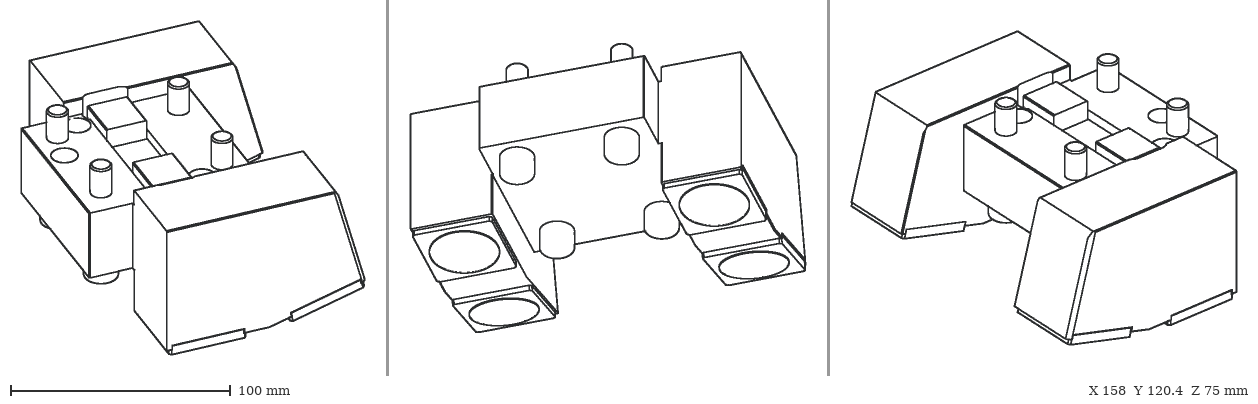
import cadquery as cq
import math

half_width = 79.0
overall_depth = 120.42
overall_height = 75.0

block_left_inner = -39.75
block_right_inner = 40.75
block_front = 21.4
block_bottom = 3.0
block_top = 68.0
tilt = 15.0
edge_break = 0.5
inner_front_chamfer = 0.7
rear_edge_chamfer = 2.0
top_rear_flat_setback = 1.2
top_rear_drop = 3.5

pad_size = 38.0
pad_corner = 1.0
pad_centre_x = 59.7
level_pad_front_gap = 20.6
tilted_pad_rear_gap = 20.3
pad_disc_diameter = 32.0
pad_disc_thickness = 0.5
pad_notch_depth = 2.2
pad_notch_size = 35.0

base_half_width = 39.5
base_depth = 84.0
base_bottom = 25.0
base_top = 60.0
base_edge_chamfer = 0.5
side_bevel_width = 3.0
side_bevel_drop = 0.5

slot_centre_y = 42.0
slot_width = 20.5
slot_floor = 55.0
relief_width = 24.0
relief_radius = 5.0
relief_centre_x = 37.0
key_inner_x = 15.0
key_outer_x = 37.0
key_width = 20.0
key_top = 65.0
key_chamfer = 0.5

screw_x = 25.0
screw_front_y = 12.0
screw_rear_y = 72.0
screw_diameter = 10.0
screw_tip_chamfer = 0.8
head_diameter = 16.0
head_height = 10.0
head_round = 1.0

plug_diameter = 12.4
plug_sink = 0.1
plug_positions = [(31.0, 59.5), (-31.0, 24.4), (-10.0, 9.0)]

tilt_tan = math.tan(math.radians(tilt))
tilt_cos = math.cos(math.radians(tilt))
tilt_sin = math.sin(math.radians(tilt))
slope_start_y = 72.6
slope_end_z = block_bottom + (overall_depth - slope_start_y) * tilt_tan
slope_length = (overall_depth - slope_start_y) / tilt_cos


def rear_face_y(z):
    """Y of the leaning rear face at height z."""
    return overall_depth - (z - slope_end_z) * tilt_tan


def box(x0, x1, y0, y1, z0, z1):
    """Box between opposite corners, with the X limits in either order."""
    width = abs(x1 - x0)
    return cq.Workplane("XY").box(width, y1 - y0, z1 - z0, centered=False).translate((min(x0, x1), y0, z0))


def contact_pad():
    """Pad whose top is sunk into the block above z = 0, centred on the origin, with a round disc below."""
    plate = (
        cq.Workplane("XY")
        .workplane(offset=pad_notch_depth)
        .rect(pad_size, pad_size)
        .extrude(pad_disc_thickness - block_bottom - pad_notch_depth)
        .edges("|Z")
        .chamfer(pad_corner)
    )
    disc = (
        cq.Workplane("XY")
        .workplane(offset=-block_bottom)
        .circle(pad_disc_diameter / 2)
        .extrude(pad_disc_thickness)
    )
    return plate.union(disc)


def pad_notch(side):
    """Shallow notch with a flared mouth in the outer side face, exposing the edge of the seated pad."""
    outer = side * (half_width - pad_centre_x)
    inner = side * pad_size / 2
    notch = box(inner, outer, -pad_notch_size / 2, pad_notch_size / 2, 0, pad_notch_depth)
    mouth = (
        cq.Workplane("YZ")
        .workplane(offset=outer)
        .rect(pad_notch_size + 2 * edge_break, 2 * (pad_notch_depth + edge_break))
        .workplane(offset=-side * edge_break)
        .rect(pad_notch_size, 2 * pad_notch_depth)
        .loft()
    )
    return notch.union(mouth)


def place_level(shape, side):
    """Move a pad shape to the level underside of a block."""
    return shape.translate((side * pad_centre_x, block_front + level_pad_front_gap, block_bottom))


def place_tilted(shape, side):
    """Move a pad shape to the tilted underside of a block."""
    along = slope_length - tilted_pad_rear_gap
    y = slope_start_y + along * tilt_cos
    z = block_bottom + along * tilt_sin
    return shape.rotate((0, 0, 0), (1, 0, 0), tilt).translate((side * pad_centre_x, y, z))


def top_rear_wedge():
    """Material removed to bevel the edge between the rear face and the top."""
    return (
        cq.Workplane("YZ")
        .moveTo(rear_face_y(block_top) - top_rear_flat_setback, block_top)
        .lineTo(rear_face_y(block_top - top_rear_drop), block_top - top_rear_drop)
        .lineTo(overall_depth, block_top)
        .close()
        .extrude(half_width, both=True)
    )


def chamfer_near(shape, length, point):
    """Chamfer the single edge whose middle is nearest to the point."""
    return shape.edges(cq.selectors.NearestToPointSelector(point)).chamfer(length)


def side_block(side, inner_x):
    """Block with a tilted rear underside, leaning rear face, broken edges and two pads."""
    outer_x = side * half_width
    profile = [
        (block_front, block_bottom),
        (slope_start_y, block_bottom),
        (overall_depth, slope_end_z),
        (rear_face_y(block_top), block_top),
        (block_front, block_top),
    ]
    block = cq.Workplane("YZ").polyline(profile).close().extrude(abs(outer_x - inner_x))
    block = block.translate((min(inner_x, outer_x), 0, 0))

    rear_mid_z = (slope_end_z + block_top) / 2
    rear_mid_y = rear_face_y(rear_mid_z)
    block = chamfer_near(block, rear_edge_chamfer, (outer_x, rear_mid_y, rear_mid_z))
    block = chamfer_near(block, edge_break, (inner_x, rear_mid_y, rear_mid_z))
    block = block.cut(top_rear_wedge())
    block = block.faces(">Z").edges("|Y").chamfer(edge_break)

    level_mid_y = (block_front + slope_start_y) / 2
    slope_mid_y = (slope_start_y + overall_depth) / 2
    slope_mid_z = (block_bottom + slope_end_z) / 2
    block = (
        block.edges(cq.selectors.NearestToPointSelector((outer_x, level_mid_y, block_bottom)))
        .add(block.edges(cq.selectors.NearestToPointSelector((outer_x, slope_mid_y, slope_mid_z))))
        .chamfer(edge_break)
    )

    for place in (place_level, place_tilted):
        block = block.cut(place(pad_notch(side), side)).union(place(contact_pad(), side))
    return block.cut(inner_front_wedge(side, inner_x))


def inner_front_wedge(side, inner_x):
    """Material removed to chamfer the inner front edge of a block below the base plate."""
    return (
        cq.Workplane("XY")
        .workplane(offset=block_bottom)
        .moveTo(inner_x, block_front)
        .lineTo(inner_x + side * inner_front_chamfer, block_front)
        .lineTo(inner_x, block_front + inner_front_chamfer)
        .close()
        .extrude(base_bottom - block_bottom)
    )


def base_plate():
    """Plate with chamfered front and top edges and a shallow bevel along its left top edge."""
    plate = box(-base_half_width, base_half_width, 0, base_depth, base_bottom, base_top)
    plate = plate.edges("(|Z and <Y) or (|X and >Z)").chamfer(base_edge_chamfer)
    bevel = (
        cq.Workplane("XZ")
        .moveTo(-base_half_width, base_top)
        .lineTo(-base_half_width + side_bevel_width, base_top)
        .lineTo(-base_half_width, base_top - side_bevel_drop)
        .close()
        .extrude(-base_depth)
    )
    return plate.cut(bevel)


def right_bridge():
    """Joins the base plate to the right block."""
    return box(base_half_width, block_right_inner, block_front, base_depth, base_bottom, base_top)


def left_bridge():
    """Joins the base plate to the left block."""
    bridge_top = base_top - side_bevel_drop
    return box(block_left_inner, -base_half_width, block_front, base_depth, base_bottom, bridge_top)


def cross_slot():
    """Slot along X with rounded reliefs at both ends, open upward past the blocks."""
    height = block_top - slot_floor
    slot = cq.Workplane("XY").rect(2 * relief_centre_x, slot_width).extrude(height)
    corner_y = relief_width / 2 - relief_radius
    for side in (-1, 1):
        centre_x = side * relief_centre_x
        end_x = centre_x + side * relief_radius
        corners = (
            cq.Workplane("XY")
            .pushPoints([(centre_x, -corner_y), (centre_x, corner_y)])
            .circle(relief_radius)
            .extrude(height)
        )
        end_pocket = box(centre_x, end_x, -corner_y, corner_y, 0, height)
        slot = slot.union(corners).union(end_pocket)
    return slot.translate((0, slot_centre_y, slot_floor))


def key(side):
    """Rectangular key standing on the slot floor."""
    y0 = slot_centre_y - key_width / 2
    body = box(side * key_inner_x, side * key_outer_x, y0, y0 + key_width, slot_floor, key_top)
    return body.faces(">Z").edges("|X").chamfer(key_chamfer)


def screw(x, y):
    """Screw with its tip above the base and its head below."""
    shank = (
        cq.Workplane("XY")
        .workplane(offset=base_bottom)
        .circle(screw_diameter / 2)
        .extrude(overall_height - base_bottom)
        .faces(">Z")
        .chamfer(screw_tip_chamfer)
    )
    head = (
        cq.Workplane("XY")
        .workplane(offset=base_bottom - head_height)
        .circle(head_diameter / 2)
        .extrude(head_height)
        .faces("<Z")
        .edges()
        .fillet(head_round)
    )
    return shank.union(head).translate((x, y, 0))


def plug_recesses():
    """Thin discs that mark the sunk faces of the closing plugs."""
    return (
        cq.Workplane("XY")
        .workplane(offset=base_top)
        .pushPoints(plug_positions)
        .circle(plug_diameter / 2)
        .extrude(-plug_sink)
    )


result = base_plate().union(left_bridge()).union(right_bridge())
result = result.union(side_block(-1, block_left_inner)).union(side_block(1, block_right_inner))
result = result.cut(cross_slot()).cut(plug_recesses())
for part_side in (-1, 1):
    result = result.union(key(part_side))
    for screw_y in (screw_front_y, screw_rear_y):
        result = result.union(screw(part_side * screw_x, screw_y))